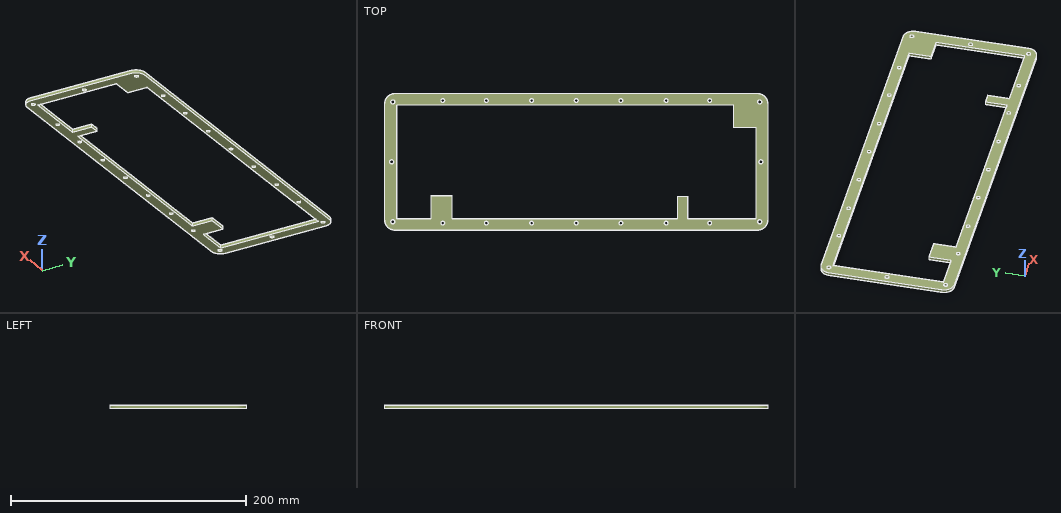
import cadquery as cq

length = 325.85
width = 116.3
thickness = 3.0
corner_radius = 9.0

rail_width = 10.0
left_bar_width = 10.5
right_bar_width = 10.3
window_left = -length / 2 + left_bar_width
window_right = length / 2 - right_bar_width
window_top = width / 2 - rail_width
window_bottom = -window_top

left_tab_center_x = -114.4
left_tab_width = 18.1
left_tab_reach = 19.45
right_tab_center_x = 90.4
right_tab_width = 9.0
right_tab_reach = 18.75

corner_block_length = 19.1
corner_block_height = 19.1

rail_hole_diameter = 3.0
rail_hole_offsets = (37.9, 76.4, 113.4)
rail_hole_edge_distance = 6.1

end_hole_diameter = 3.3
corner_hole_edge_distance_x = 7.1
corner_hole_edge_distance_y = 7.25
side_hole_edge_distance = 6.05


def block(x_min, x_max, y_min, y_max):
    """Full-thickness rectangular block between the given limits."""
    return (
        cq.Workplane("XY")
        .center((x_min + x_max) / 2, (y_min + y_max) / 2)
        .rect(x_max - x_min, y_max - y_min)
        .extrude(thickness)
    )


def frame():
    """Plate with rounded corners and a rectangular window."""
    plate = block(-length / 2, length / 2, -width / 2, width / 2)
    plate = plate.edges("|Z").fillet(corner_radius)
    return plate.cut(block(window_left, window_right, window_bottom, window_top))


def lower_tab(center_x, tab_width, reach):
    """Tab on the lower rail, rooted halfway into the rail for a solid joint."""
    return block(
        center_x - tab_width / 2,
        center_x + tab_width / 2,
        window_bottom - rail_width / 2,
        window_bottom + reach,
    )


def corner_block():
    """Window corner block, rooted halfway into the top rail and right bar."""
    return block(
        window_right - corner_block_length,
        window_right + right_bar_width / 2,
        window_top - corner_block_height,
        window_top + rail_width / 2,
    )


def hole_cutters(points, diameter):
    """Cylinders through the plate at the given points."""
    return cq.Workplane("XY").pushPoints(points).circle(diameter / 2).extrude(thickness)


def rail_hole_points():
    """Matching rows of holes on the upper and lower rails."""
    y = width / 2 - rail_hole_edge_distance
    mirrored_offsets = [side * offset for offset in rail_hole_offsets for side in (-1, 1)]
    return [(x, side * y) for x in [0, *mirrored_offsets] for side in (-1, 1)]


def end_hole_points():
    """One hole in each corner and one at the middle of each end bar."""
    corner_x = length / 2 - corner_hole_edge_distance_x
    corner_y = width / 2 - corner_hole_edge_distance_y
    side_x = length / 2 - side_hole_edge_distance
    corners = [(i * corner_x, j * corner_y) for i in (-1, 1) for j in (-1, 1)]
    return corners + [(-side_x, 0), (side_x, 0)]


result = (
    frame()
    .union(lower_tab(left_tab_center_x, left_tab_width, left_tab_reach))
    .union(lower_tab(right_tab_center_x, right_tab_width, right_tab_reach))
    .union(corner_block())
    .cut(hole_cutters(rail_hole_points(), rail_hole_diameter))
    .cut(hole_cutters(end_hole_points(), end_hole_diameter))
)